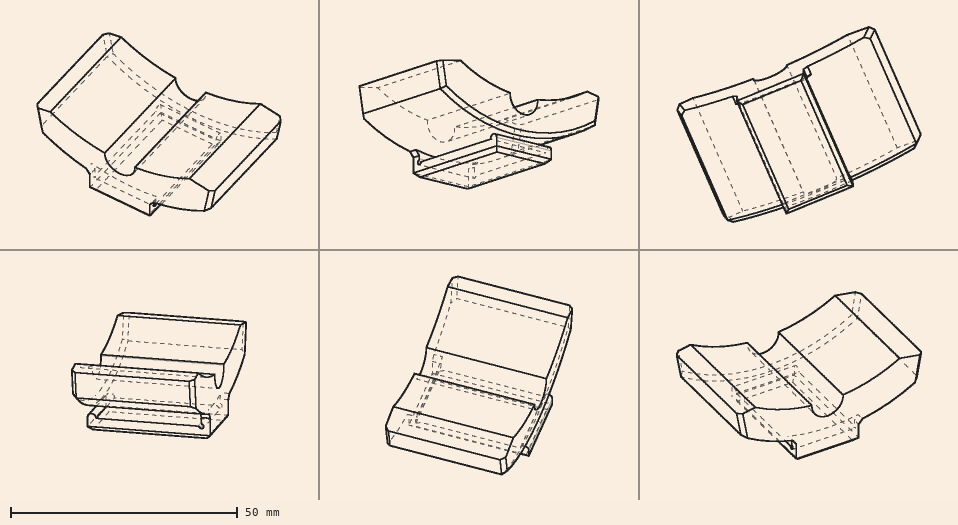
import math

import cadquery as cq

LENGTH = 28.0
HEIGHT = 18.62
CHAMFER = 1.0

INNER_RADIUS = 37.5
OUTER_RADIUS = 42.3
OUTER_CENTER_X = 1.25
PEAK_HALF_SPACING = 18.5
END_TILT = math.radians(10)
LEFT_LIP = 4.25
RIGHT_LIP = 6.25
GROOVE_RADIUS = 4.0

CLIP_WIDTH = 16.0
TONGUE_THICKNESS = 3.0
CLIP_GAP = 2.0
WEB_THICKNESS = 2.0
BUMP_RADIUS = 1.0
RELIEF_RADIUS = 0.5

SADDLE_BOTTOM = TONGUE_THICKNESS + CLIP_GAP
OUTER_CENTER_Z = SADDLE_BOTTOM + OUTER_RADIUS
INNER_CENTER_Z = HEIGHT + math.sqrt(INNER_RADIUS**2 - PEAK_HALF_SPACING**2)
INNER_BOTTOM = INNER_CENTER_Z - INNER_RADIUS


def cylinder_along_y(x, z, radius):
    """Cylinder as long as the part."""
    return cq.Workplane("XZ").center(x, z).circle(radius).extrude(-LENGTH)


def cylinder_along_x(y, z, radius):
    """Cylinder as long as the clip is wide."""
    circle = cq.Workplane("YZ").center(y, z).circle(radius)
    return circle.extrude(CLIP_WIDTH / 2, both=True)


def nearest_edge(body, point):
    """Edge of the body that passes closest to the point."""
    vertex = cq.Vertex.makeVertex(*point)
    return min(body.edges().vals(), key=vertex.distance)


def lip_corner(side, lip):
    """Outer top corner of the saddle; side is -1 for left and +1 for right."""
    x = side * (PEAK_HALF_SPACING + lip * math.cos(END_TILT))
    z = HEIGHT - lip * math.sin(END_TILT)
    return x, z


def end_foot(side, corner):
    """Point where the tilted end face through the corner meets the outer arc."""
    step_x = -side * math.sin(END_TILT)
    step_z = -math.cos(END_TILT)
    from_center_x = corner[0] - OUTER_CENTER_X
    from_center_z = corner[1] - OUTER_CENTER_Z
    along = from_center_x * step_x + from_center_z * step_z
    off_circle = from_center_x**2 + from_center_z**2 - OUTER_RADIUS**2
    distance = -along + math.sqrt(along**2 - off_circle)
    return corner[0] + distance * step_x, corner[1] + distance * step_z


def make_saddle():
    """Curved plate with tilted ends, flat lips and a chamfered rim."""
    left_corner = lip_corner(-1, LEFT_LIP)
    right_corner = lip_corner(1, RIGHT_LIP)
    left_foot = end_foot(-1, left_corner)
    right_foot = end_foot(1, right_corner)
    saddle = (
        cq.Workplane("XZ")
        .moveTo(-PEAK_HALF_SPACING, HEIGHT)
        .lineTo(*left_corner)
        .lineTo(*left_foot)
        .threePointArc((OUTER_CENTER_X, SADDLE_BOTTOM), right_foot)
        .lineTo(*right_corner)
        .lineTo(PEAK_HALF_SPACING, HEIGHT)
        .threePointArc((0, INNER_BOTTOM), (-PEAK_HALF_SPACING, HEIGHT))
        .close()
        .extrude(-LENGTH)
    )
    end_middles = [
        ((corner[0] + foot[0]) / 2, (corner[1] + foot[1]) / 2)
        for corner, foot in ((left_corner, left_foot), (right_corner, right_foot))
    ]
    rim_points = [(x, y, z) for x, z in end_middles for y in (0, LENGTH)]
    rim_points.append((OUTER_CENTER_X, LENGTH, SADDLE_BOTTOM))
    rim = [nearest_edge(saddle, point) for point in rim_points]
    return saddle.newObject(rim).chamfer(CHAMFER)


def make_web():
    """Upright wall that joins the tongue to the saddle and ends flush with its inner face."""
    wall_height = HEIGHT - TONGUE_THICKNESS
    wall = cq.Workplane().box(CLIP_WIDTH, WEB_THICKNESS, wall_height, centered=(True, False, False))
    wall = wall.translate((0, 0, TONGUE_THICKNESS))
    return wall.cut(cylinder_along_y(0, INNER_CENTER_Z, INNER_RADIUS))


def chamfer_web_sides(body):
    """Fill the corners with flats between the web sides and the outer face of the saddle."""
    for x in (-CLIP_WIDTH / 2, CLIP_WIDTH / 2):
        z = OUTER_CENTER_Z - math.sqrt(OUTER_RADIUS**2 - (x - OUTER_CENTER_X) ** 2)
        corner = nearest_edge(body, (x, WEB_THICKNESS / 2, z))
        body = body.newObject([corner]).chamfer(CHAMFER)
    return body


def make_tongue():
    """Flat spring tongue with a round locking bump across its free end."""
    tongue = cq.Workplane().box(CLIP_WIDTH, LENGTH, TONGUE_THICKNESS, centered=(True, False, False))
    tongue = tongue.faces("<Z").chamfer(CHAMFER)
    bump = cylinder_along_x(LENGTH - BUMP_RADIUS, TONGUE_THICKNESS, BUMP_RADIUS)
    return tongue.union(bump)


def cut_relief(body):
    """Round relief in the corner of web and tongue, with both of its mouth edges rounded."""
    body = body.cut(cylinder_along_x(WEB_THICKNESS, TONGUE_THICKNESS, RELIEF_RADIUS))
    mouth_edges = [
        nearest_edge(body, (0, WEB_THICKNESS + RELIEF_RADIUS, TONGUE_THICKNESS)),
        nearest_edge(body, (0, WEB_THICKNESS, TONGUE_THICKNESS + RELIEF_RADIUS)),
    ]
    return body.newObject(mouth_edges).fillet(RELIEF_RADIUS)


body = chamfer_web_sides(make_saddle().union(make_web()))
body = cut_relief(body.union(make_tongue()))
result = body.cut(cylinder_along_y(0, INNER_BOTTOM, GROOVE_RADIUS))